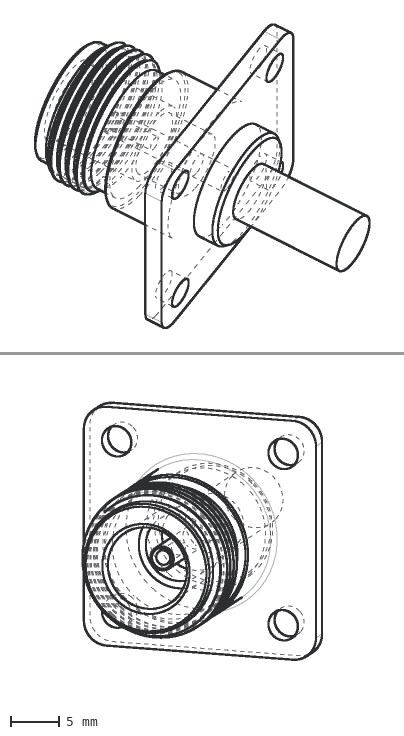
import cadquery as cq
import math


total_length = 34.88
collar_start = 9.35
flange_start = 17.45
flange_thickness = 2.02
boss_end = 22.2
flange_end = flange_start + flange_thickness

neck_diameter = 13.7
collar_diameter = 15.87
boss_diameter = 13.0
tail_diameter = 6.4

mouth_chamfer = 0.25
collar_chamfer = 0.2
collar_fillet = 0.52
boss_chamfer_length = 0.45
boss_chamfer_height = 0.35

flange_side = 25.4
flange_corner_radius = 2.5
screw_hole_diameter = 3.2
screw_hole_spacing = 18.2

thread_start = 1.5
thread_end = 7.08
thread_diameter = 15.87
thread_pitch = 1.05
thread_depth = 0.55
crest_width = 0.15
flank_angle = 30.0
ridge_start = 0.98
ridge_turns = 6
ridge_sink = 0.1
envelope_clearance = 0.07

bore_diameter = 8.65
bore_mouth_diameter = 9.55
bore_depth = 10.45
inner_bore_diameter = 7.1
inner_bore_depth = 15.7

contact_diameter = 2.55
contact_start = 5.23
contact_end = flange_end
socket_diameter = 1.55
socket_mouth_diameter = 2.23
socket_depth = 5.23


def cylinder(diameter, start, end):
    """Solid cylinder on the X axis."""
    return cq.Workplane("YZ").workplane(offset=start).circle(diameter / 2).extrude(end - start)


def blind_hole(diameter, mouth_diameter, start, depth):
    """Flat-bottomed hole on the X axis with a 45 degree countersunk mouth."""
    radius = diameter / 2
    mouth_radius = mouth_diameter / 2
    countersink_end = start + mouth_radius - radius
    return (
        cq.Workplane("XY")
        .polyline([
            (start, 0),
            (start, mouth_radius),
            (countersink_end, radius),
            (start + depth, radius),
            (start + depth, 0),
        ])
        .close()
        .revolve(360, (0, 0, 0), (1, 0, 0))
    )


def thread_ridge():
    """Helical trapezoidal ridge, right-handed about X, its foot sunk into the thread core."""
    crest_radius = thread_diameter / 2
    foot_radius = crest_radius - thread_depth - ridge_sink
    half_crest = crest_width / 2
    half_foot = half_crest + (crest_radius - foot_radius) * math.tan(math.radians(flank_angle))

    path = cq.Wire.makeHelix(thread_pitch, thread_pitch * ridge_turns, foot_radius)
    ridge = (
        cq.Workplane("XZ")
        .polyline([
            (foot_radius, -half_foot),
            (crest_radius, -half_crest),
            (crest_radius, half_crest),
            (foot_radius, half_foot),
        ])
        .close()
        .sweep(cq.Workplane(path), isFrenet=True)
    )
    return ridge.rotate((0, 0, 0), (0, 1, 0), 90).translate((ridge_start, 0, 0))


def threaded_band():
    """Thread core and ridge, both trimmed by 45 degree tapers that end at the neck."""
    envelope_diameter = thread_diameter + 2 * envelope_clearance
    taper = (envelope_diameter - neck_diameter) / 2
    envelope = cylinder(envelope_diameter, thread_start, thread_end).edges().chamfer(taper)
    core_diameter = thread_diameter - 2 * thread_depth
    core = cylinder(core_diameter, 0, collar_start)
    return core.union(thread_ridge()).intersect(envelope)


def collar():
    """Large collar, chamfered in front and filleted out to the flange face."""
    radius = collar_diameter / 2
    fillet_middle = collar_fillet * (1 - math.sqrt(0.5))
    return (
        cq.Workplane("XY")
        .moveTo(collar_start, 0)
        .lineTo(collar_start, radius - collar_chamfer)
        .lineTo(collar_start + collar_chamfer, radius)
        .lineTo(flange_start - collar_fillet, radius)
        .threePointArc(
            (flange_start - fillet_middle, radius + fillet_middle),
            (flange_start, radius + collar_fillet),
        )
        .lineTo(flange_start, 0)
        .close()
        .revolve(360, (0, 0, 0), (1, 0, 0))
    )


def flange():
    """Square flange with rounded corners and four screw holes."""
    return (
        cq.Workplane("YZ")
        .workplane(offset=flange_start)
        .rect(flange_side, flange_side)
        .extrude(flange_thickness)
        .edges("|X")
        .fillet(flange_corner_radius)
        .faces(">X")
        .workplane()
        .rect(screw_hole_spacing, screw_hole_spacing, forConstruction=True)
        .vertices()
        .hole(screw_hole_diameter)
    )


def rear_boss():
    """Boss behind the flange with a chamfered rear rim."""
    radius = boss_diameter / 2
    return (
        cq.Workplane("XY")
        .polyline([
            (flange_end, 0),
            (flange_end, radius),
            (boss_end - boss_chamfer_length, radius),
            (boss_end, radius - boss_chamfer_height),
            (boss_end, 0),
        ])
        .close()
        .revolve(360, (0, 0, 0), (1, 0, 0))
    )


def make_housing():
    """Threaded housing with flange, rear boss and tail, hollow at the mouth."""
    neck = cylinder(neck_diameter, 0, collar_start).faces("<X").edges().chamfer(mouth_chamfer)
    tail = cylinder(tail_diameter, boss_end, total_length)
    solid = neck.union(threaded_band()).union(collar()).union(flange()).union(rear_boss()).union(tail)

    bore = blind_hole(bore_diameter, bore_mouth_diameter, 0, bore_depth)
    inner_bore = cylinder(inner_bore_diameter, bore_depth, inner_bore_depth)
    contact_seat = cylinder(contact_diameter, inner_bore_depth, contact_end)
    return solid.cut(bore).cut(inner_bore).cut(contact_seat)


def make_contact():
    """Centre contact with a socket in its front end, seated in the housing."""
    pin = cylinder(contact_diameter, contact_start, contact_end)
    return pin.cut(blind_hole(socket_diameter, socket_mouth_diameter, contact_start, socket_depth))


housing = make_housing()
contact = make_contact()
result = cq.Compound.makeCompound([housing.solids().val(), contact.solids().val()])